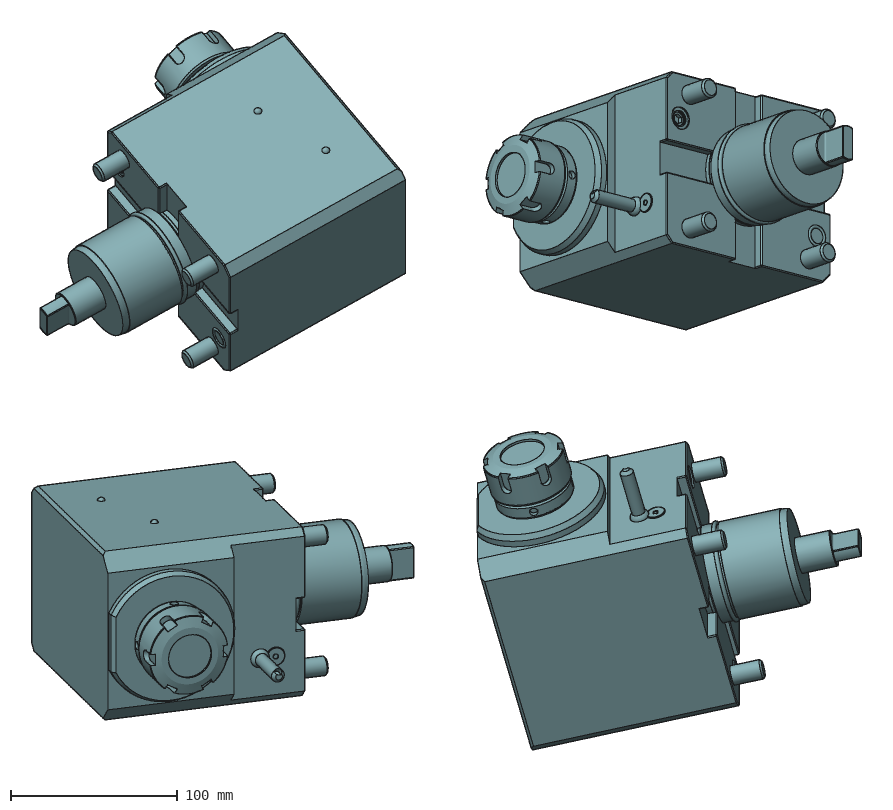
import cadquery as cq
import math


BLOCK_HALF_WIDTH = 65.0
BLOCK_LENGTH = 128.0
BLOCK_HALF_HEIGHT = 54.0
CORNER_CHAMFER_RIGHT = 6.0
CORNER_CHAMFER_LEFT = 4.5
BACK_CHAMFER = 2.0
FACE_CHAMFER = 0.7
PAD_HEIGHT = 5.8
PAD_LENGTH = 80.5
CROSS_SLOT_WIDTH = 20.0
CROSS_SLOT_DEPTH = 6.0

SPINDLE_Y = 90.0
FLANGE_RADIUS = 41.5
FLANGE_THICKNESS = 7.5
FLANGE_BEVEL_LENGTH = 3.5
FLANGE_BEVEL_DEPTH = 1.9
FLANGE_BACK_GAP = 0.7

SHANK_RADIUS = 30.0
SHANK_LENGTH = 53.0
SHANK_ROOT_RADIUS = 29.0
SHANK_ROOT_END = 2.6
SHANK_COLLAR_RADIUS = 29.4
SHANK_COLLAR_END = 0.8
SHANK_GROOVE_START = 6.5
SHANK_GROOVE_END = 10.5
SHANK_GROOVE_RADIUS = 28.4
SEAL_RADIUS = 1.4
SEAL_OUTER_RADIUS = 31.0
SHANK_LAND_END = 48.5
SHANK_TAPER_START = 50.5
SHANK_TIP_STEP = 0.5

SHAFT_RADIUS = 11.0
SHAFT_END = 75.0
SHAFT_CHAMFER = 0.5
TANG_END = 91.0
TANG_WIDTH = 8.0
TANG_RADIUS = 10.7
TANG_CHAMFER = 0.5
TANG_ROOT_FILLET = 1.0

BOLT_RADIUS = 6.0
BOLT_LENGTH = 19.2
BOLT_CHAMFER = 1.2
BOLT_X = 47.0
BOLT_Z = 42.0

PORT_X = 54.0
PORT_Z = 26.0
PORT_RADIUS = 6.9
PORT_DEPTH = 1.0
PORT_RING_SECTION = 1.1
PORT_RING_RISE = 0.8
PLUG_RADIUS = 5.0
PLUG_DEPTH = 1.0
PLUG_STEP_RADIUS = 4.2
PLUG_STEP_DEPTH = 0.5
PLUG_SOCKET_SIZE = 6.3
PLUG_SOCKET_DEPTH = 3.0
PLUG_SOCKET_TURN = 30.0

PIPE_Y = 29.0
PIPE_Z = -25.0
PIPE_RADIUS = 4.1
PIPE_LENGTH = 34.0
PIPE_TIP_CHAMFER = 2.0
NOZZLE_RADIUS = 2.2
NOZZLE_DEPTH = 4.4
PIPE_BASE_RADIUS = 5.9
PIPE_BASE_LENGTH = 3.2
PIPE_BASE_MID_LENGTH = 1.9
PIPE_BASE_MID_RADIUS = 5.3
DISC_Y = 19.1
DISC_RADIUS = 5.9
DISC_HEIGHT = 0.7
DISC_HOLE_RADIUS = 1.6
DISC_CHAMFER = 0.4

STUD_POSITIONS = [(-23.5, 81.4), (23.5, 98.5)]
STUD_RADIUS = 2.4
STUD_HEIGHT = 1.6

NECK_RADIUS = 23.0
COLLAR_START = 1.4
COLLAR_END = 8.2
COLLAR_RADIUS = 24.0
COLLAR_HOLE_COUNT = 4
COLLAR_HOLE_RADIUS = 2.5
COLLAR_HOLE_DEPTH = 3.0
GAP_RADIUS = 19.0
GAP_STEP_END = 8.9
GAP_STEP_RADIUS = 19.7
NUT_START = 10.1
NUT_SHOULDER = 11.4
NUT_RADIUS = 25.0
NUT_CHAMFER = 0.7
NUT_EDGE = 30.3
NUT_CONE_START = 31.1
NUT_CONE_RADIUS = 24.7
NUT_END = 33.0
NUT_FACE_RADIUS = 18.0
NUT_SLOT_COUNT = 6
NUT_SLOT_WIDTH = 7.0
NUT_SLOT_DEPTH = 3.4
NUT_SLOT_REACH = 13.3
COLLET_RADIUS = 13.7
COLLET_RECESS = 1.5

PAD_X = -BLOCK_HALF_WIDTH - PAD_HEIGHT
FLANGE_X = PAD_X - FLANGE_THICKNESS


def axis_left(x, y, z):
    """Plane whose local x runs along -X."""
    return cq.Plane(origin=(x, y, z), xDir=(-1, 0, 0), normal=(0, 0, 1))


def axis_front(x, y, z):
    """Plane whose local x runs along -Y."""
    return cq.Plane(origin=(x, y, z), xDir=(0, -1, 0), normal=(0, 0, 1))


def turned(plane, profile):
    """Revolve a closed (distance, radius) profile about the plane's local x axis."""
    return cq.Workplane(plane).polyline(profile).close().revolve(360, (0, 0), (1, 0))


def rod(plane, radius, length, start=0.0):
    """Cylinder along the plane's local x axis."""
    return turned(plane, [(start, 0), (start, radius), (length, radius), (length, 0)])


def ring(plane, position, major_radius, section_radius):
    """Round ring about the plane's local x axis."""
    section = cq.Workplane(plane).center(position, major_radius).circle(section_radius)
    return section.revolve(360, (0, -major_radius), (1, -major_radius))


def block_section(left_x, left_chamfer, start_y, length):
    """Prism along Y with 45 degree chamfers along its four long edges."""
    left_z = BLOCK_HALF_HEIGHT - left_chamfer
    right_z = BLOCK_HALF_HEIGHT - CORNER_CHAMFER_RIGHT
    upper = [
        (left_x, left_z),
        (left_x + left_chamfer, BLOCK_HALF_HEIGHT),
        (BLOCK_HALF_WIDTH - CORNER_CHAMFER_RIGHT, BLOCK_HALF_HEIGHT),
        (BLOCK_HALF_WIDTH, right_z),
    ]
    lower = [(x, -z) for x, z in reversed(upper)]
    section = cq.Workplane("XZ", origin=(0, start_y, 0)).polyline(upper + lower).close()
    return section.extrude(-length)


def make_block():
    block = block_section(-BLOCK_HALF_WIDTH, CORNER_CHAMFER_LEFT, 0, BLOCK_LENGTH)
    slot_size = 4 * BLOCK_HALF_WIDTH
    slot_depth = 2 * CROSS_SLOT_DEPTH
    block = block.cut(cq.Workplane().box(slot_size, slot_depth, CROSS_SLOT_WIDTH))
    block = block.cut(cq.Workplane().box(CROSS_SLOT_WIDTH, slot_depth, slot_size))
    slot_ends = block.edges("|Y").filter(lambda edge: edge.Center().y < CROSS_SLOT_DEPTH)
    block = slot_ends.chamfer(FACE_CHAMFER)
    block = block.faces("<Y").edges().chamfer(FACE_CHAMFER)
    pad_chamfer = CORNER_CHAMFER_LEFT + PAD_HEIGHT
    pad = block_section(PAD_X, pad_chamfer, BLOCK_LENGTH - PAD_LENGTH, PAD_LENGTH)
    block = block.union(pad)
    return block.edges("|X and >Y and (>Z or <Z)").chamfer(BACK_CHAMFER)


def flange_slice(start, length, taper):
    """Slice of the flange, a circle with one flat towards the back, narrowing by a taper in degrees."""
    flat_y = BLOCK_LENGTH - FLANGE_BACK_GAP - SPINDLE_Y
    flat_z = math.sqrt(FLANGE_RADIUS**2 - flat_y**2)
    plane = cq.Plane(origin=(PAD_X - start, SPINDLE_Y, 0), xDir=(0, -1, 0), normal=(-1, 0, 0))
    outline = cq.Workplane(plane).moveTo(-flat_y, -flat_z)
    outline = outline.threePointArc((FLANGE_RADIUS, 0), (-flat_y, flat_z)).close()
    return outline.extrude(length, taper=taper)


def make_flange():
    """Flange whose bevel follows both the circle and the flat."""
    straight = FLANGE_THICKNESS - FLANGE_BEVEL_LENGTH
    bevel_angle = math.degrees(math.atan2(FLANGE_BEVEL_DEPTH, FLANGE_BEVEL_LENGTH))
    body = flange_slice(0, straight, 0)
    return body.union(flange_slice(straight, FLANGE_BEVEL_LENGTH, bevel_angle))


def make_shank():
    plane = axis_front(0, 0, 0)
    land_radius = SHANK_RADIUS - SHANK_TIP_STEP
    shank = turned(plane, [
        (-CROSS_SLOT_DEPTH, 0),
        (-CROSS_SLOT_DEPTH, SHANK_ROOT_RADIUS),
        (-SHANK_ROOT_END, SHANK_ROOT_RADIUS),
        (-SHANK_ROOT_END, SHANK_COLLAR_RADIUS),
        (-SHANK_COLLAR_END, SHANK_COLLAR_RADIUS),
        (0, SHANK_RADIUS),
        (SHANK_GROOVE_START, SHANK_RADIUS),
        (SHANK_GROOVE_START, SHANK_GROOVE_RADIUS),
        (SHANK_GROOVE_END, SHANK_GROOVE_RADIUS),
        (SHANK_GROOVE_END, SHANK_RADIUS),
        (SHANK_LAND_END, SHANK_RADIUS),
        (SHANK_LAND_END, land_radius),
        (SHANK_TAPER_START, land_radius),
        (SHANK_LENGTH, land_radius - SHANK_TIP_STEP),
        (SHANK_LENGTH, 0),
    ])
    seal = ring(plane, SHANK_GROOVE_START + SEAL_RADIUS, SEAL_OUTER_RADIUS - SEAL_RADIUS, SEAL_RADIUS)
    return shank.union(seal)


def make_drive_shaft():
    plane = axis_front(0, 0, 0)
    shaft = rod(plane, SHAFT_RADIUS, SHAFT_END, SHANK_LENGTH).faces("<Y").chamfer(SHAFT_CHAMFER)
    tang_length = TANG_END - SHAFT_END
    flat_bar = cq.Workplane().box(TANG_WIDTH, tang_length, 2 * SHAFT_RADIUS)
    flat_bar = flat_bar.translate((0, -SHAFT_END - tang_length / 2, 0))
    tang = rod(plane, TANG_RADIUS, TANG_END, SHAFT_END).intersect(flat_bar)
    tang = tang.edges("|Y").chamfer(TANG_CHAMFER).faces("<Y").chamfer(TANG_CHAMFER)
    return shaft.union(tang).union(make_tang_root())


def make_tang_root():
    """Concave fillets where the two flats of the tang meet the shaft end."""
    half = TANG_WIDTH / 2
    fillet = TANG_ROOT_FILLET
    mid = fillet * (1 - math.sqrt(0.5))
    root = (
        cq.Workplane("XY", origin=(0, -SHAFT_END, -SHAFT_RADIUS))
        .moveTo(-half - fillet, 0)
        .threePointArc((-half - mid, -mid), (-half, -fillet))
        .lineTo(half, -fillet)
        .threePointArc((half + mid, -mid), (half + fillet, 0))
        .close()
        .extrude(2 * SHAFT_RADIUS)
    )
    envelope_radius = SHAFT_RADIUS - SHAFT_CHAMFER
    return root.intersect(rod(axis_front(0, 0, 0), envelope_radius, TANG_END, SHAFT_END))


def make_bolt(x, z):
    bolt = rod(axis_front(x, 0, z), BOLT_RADIUS, BOLT_LENGTH)
    return bolt.faces("<Y").chamfer(BOLT_CHAMFER)


def plug_port_cut():
    """Shallow port with a recessed plug that has a hexagon socket."""
    plane = axis_front(-PORT_X, 0, PORT_Z)
    plug_floor = PORT_DEPTH + PLUG_DEPTH
    socket = (
        cq.Workplane("XZ", origin=(-PORT_X, plug_floor, PORT_Z))
        .transformed(rotate=(0, 0, PLUG_SOCKET_TURN))
        .polygon(6, PLUG_SOCKET_SIZE)
        .extrude(-PLUG_SOCKET_DEPTH)
    )
    port = rod(plane, PORT_RADIUS, 0, -PORT_DEPTH)
    recess = rod(plane, PLUG_RADIUS, 0, -plug_floor)
    step = rod(plane, PLUG_STEP_RADIUS, 0, -plug_floor - PLUG_STEP_DEPTH)
    return port.union(recess).union(step).union(socket)


def make_port_ring():
    centre = PORT_RING_RISE - PORT_RING_SECTION
    plane = axis_front(PORT_X, 0, -PORT_Z)
    return ring(plane, centre, PORT_RADIUS - PORT_RING_SECTION, PORT_RING_SECTION)


def make_coolant_pipe():
    plane = axis_left(-BLOCK_HALF_WIDTH, PIPE_Y, PIPE_Z)
    pipe = rod(plane, PIPE_RADIUS, PIPE_LENGTH).faces("<X").chamfer(PIPE_TIP_CHAMFER)
    nozzle_x = -BLOCK_HALF_WIDTH - PIPE_LENGTH + PIPE_TIP_CHAMFER / 2
    nozzle_z = PIPE_Z + PIPE_RADIUS - PIPE_TIP_CHAMFER / 2
    nozzle_plane = cq.Plane(origin=(nozzle_x, PIPE_Y, nozzle_z), xDir=(-1, 0, 1), normal=(0, 1, 0))
    nozzle = rod(nozzle_plane, NOZZLE_RADIUS, NOZZLE_DEPTH, -NOZZLE_DEPTH)
    base = (
        cq.Workplane(plane)
        .lineTo(0, PIPE_BASE_RADIUS)
        .threePointArc(
            (PIPE_BASE_MID_LENGTH, PIPE_BASE_MID_RADIUS),
            (PIPE_BASE_LENGTH, PIPE_RADIUS),
        )
        .lineTo(PIPE_BASE_LENGTH, 0)
        .close()
        .revolve(360, (0, 0), (1, 0))
    )
    return pipe.cut(nozzle).union(base)


def make_disc():
    plane = axis_left(-BLOCK_HALF_WIDTH, DISC_Y, PIPE_Z)
    disc = rod(plane, DISC_RADIUS, DISC_HEIGHT).faces("<X").chamfer(DISC_CHAMFER)
    return disc.cut(rod(plane, DISC_HOLE_RADIUS, DISC_HEIGHT))


def make_stud(x, y):
    """Spherical cap on the top face."""
    profile = (
        cq.Workplane("XZ")
        .lineTo(STUD_RADIUS, 0)
        .threePointArc(*cap_points(STUD_RADIUS, STUD_HEIGHT))
        .close()
    )
    return profile.revolve(360, (0, 0), (0, 1)).translate((x, y, BLOCK_HALF_HEIGHT))


def cap_points(radius, height):
    """Middle and top points of a spherical cap's half outline."""
    sphere = (radius**2 + height**2) / (2 * height)
    half_angle = math.asin(radius / sphere) / 2
    middle = (sphere * math.sin(half_angle), height - sphere * (1 - math.cos(half_angle)))
    return middle, (0, height)


def make_housing():
    housing = make_block().union(make_flange())
    housing = housing.cut(plug_port_cut())
    parts = [make_shank(), make_drive_shaft(), make_port_ring(), make_coolant_pipe(), make_disc()]
    parts += [make_bolt(x, z) for x in (-BOLT_X, BOLT_X) for z in (-BOLT_Z, BOLT_Z)]
    parts += [make_stud(x, y) for x, y in STUD_POSITIONS]
    for part in parts:
        housing = housing.union(part)
    return housing


def around_spindle(shape, count):
    """Copies of a shape spaced evenly about the spindle axis."""
    start = (0, SPINDLE_Y, 0)
    end = (1, SPINDLE_Y, 0)
    return [shape.rotate(start, end, i * 360 / count) for i in range(count)]


def collar_hole():
    origin = (FLANGE_X - (COLLAR_START + COLLAR_END) / 2, SPINDLE_Y, COLLAR_RADIUS - COLLAR_HOLE_DEPTH)
    return cq.Workplane("XY", origin=origin).circle(COLLAR_HOLE_RADIUS).extrude(2 * COLLAR_HOLE_DEPTH)


def nut_slot():
    """Spanner slot on the -Y side, open at the nut's front and round at its inner end."""
    half = NUT_SLOT_WIDTH / 2
    front_x = FLANGE_X - NUT_END
    round_x = front_x + NUT_SLOT_REACH - half
    slot = (
        cq.Workplane("XZ", origin=(0, SPINDLE_Y - NUT_RADIUS + NUT_SLOT_DEPTH, 0))
        .moveTo(front_x, -half)
        .lineTo(round_x, -half)
        .threePointArc((round_x + half, 0), (round_x, half))
        .lineTo(front_x, half)
        .close()
    )
    return slot.extrude(2 * NUT_SLOT_DEPTH)


def make_spindle():
    plane = axis_left(FLANGE_X, SPINDLE_Y, 0)
    spindle = turned(plane, [
        (0, 0),
        (0, NECK_RADIUS),
        (COLLAR_START, NECK_RADIUS),
        (COLLAR_START, COLLAR_RADIUS),
        (COLLAR_END, COLLAR_RADIUS),
        (COLLAR_END, GAP_STEP_RADIUS),
        (GAP_STEP_END, GAP_STEP_RADIUS),
        (GAP_STEP_END, GAP_RADIUS),
        (NUT_START, GAP_RADIUS),
        (NUT_START, NUT_RADIUS - NUT_CHAMFER),
        (NUT_SHOULDER, NUT_RADIUS),
        (NUT_EDGE, NUT_RADIUS),
        (NUT_CONE_START, NUT_CONE_RADIUS),
        (NUT_END, NUT_FACE_RADIUS),
        (NUT_END, COLLET_RADIUS),
        (NUT_END - COLLET_RECESS, COLLET_RADIUS),
        (NUT_END - COLLET_RECESS, 0),
    ])
    cuts = around_spindle(collar_hole(), COLLAR_HOLE_COUNT) + around_spindle(nut_slot(), NUT_SLOT_COUNT)
    for cut in cuts:
        spindle = spindle.cut(cut)
    return spindle


housing = make_housing()
spindle = make_spindle()

result = cq.Compound.makeCompound([housing.val(), spindle.val()])